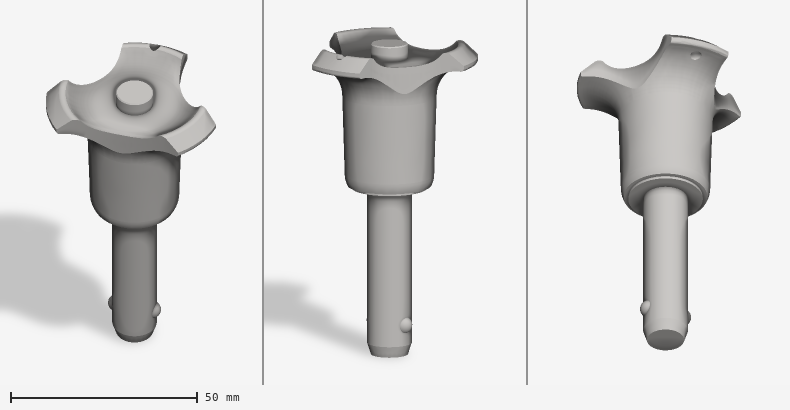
import math

import cadquery as cq


shank_radius = 6.0
shank_length = 45.5
tip_radius = 5.0
tip_length = 3.1
ball_radius = 2.35
ball_reach = 7.3
ball_height_above_tip = 8.65

grip_height = 39.8
collar_radius = 10.0
collar_height = 0.75
barrel_end_radius = 11.2
barrel_low_radius = 12.0
barrel_top_radius = 12.65
barrel_curve_height = 2.9
barrel_curve_bulge = 0.2
barrel_top_z = grip_height - 14.5

flare_radius = 9.5
rim_radius = 23.8
rim_top_z = grip_height - 3.4
rim_round = 0.7
crest_outer_radius = 20.35
crest_inner_radius = 18.5
crest_crown = 0.3

dish_floor_z = grip_height - 4.0
dish_arc_radius = 8.0

button_radius = 5.0
button_chamfer = 0.3

lobe_half_width = 8.4
side_scallop_radius = 19.7
side_scallop_angle = 60.0
side_scallop_center_y = 17.2
front_scallop_depth_y = -13.65
front_corner_x = 17.0
front_corner_y = -16.73

lanyard_hole_diameter = 3.0
lanyard_hole_y = 19.7


def make_grip():
    """Revolve the barrel, flare, rim, crest and dish."""
    barrel_low_z = collar_height + barrel_curve_height
    curve_mid = (
        (barrel_end_radius + barrel_low_radius) / 2 + barrel_curve_bulge,
        collar_height + barrel_curve_height / 2,
    )

    flare_center_radius = barrel_top_radius + flare_radius
    flare_end_z = barrel_top_z + flare_radius
    diagonal = math.sqrt(0.5)
    flare_mid = (
        flare_center_radius - flare_radius * diagonal,
        barrel_top_z + flare_radius * diagonal,
    )
    rim_round_mid = (
        rim_radius - rim_round * (1 - diagonal),
        flare_end_z + rim_round * (1 - diagonal),
    )

    crest_edge_z = grip_height - crest_crown
    crest_mid = ((crest_outer_radius + crest_inner_radius) / 2, grip_height)

    rise = crest_edge_z - dish_floor_z
    dish_sweep = math.acos(1 - rise / dish_arc_radius)
    dish_floor_radius = crest_inner_radius - dish_arc_radius * math.sin(dish_sweep)
    dish_mid = (
        dish_floor_radius + dish_arc_radius * math.sin(dish_sweep / 2),
        dish_floor_z + dish_arc_radius * (1 - math.cos(dish_sweep / 2)),
    )

    return (
        cq.Workplane("XZ")
        .moveTo(0, 0)
        .lineTo(collar_radius, 0)
        .lineTo(collar_radius, collar_height)
        .lineTo(barrel_end_radius, collar_height)
        .threePointArc(curve_mid, (barrel_low_radius, barrel_low_z))
        .lineTo(barrel_top_radius, barrel_top_z)
        .threePointArc(flare_mid, (flare_center_radius, flare_end_z))
        .lineTo(rim_radius - rim_round, flare_end_z)
        .threePointArc(rim_round_mid, (rim_radius, flare_end_z + rim_round))
        .lineTo(rim_radius, rim_top_z)
        .lineTo(crest_outer_radius, crest_edge_z)
        .threePointArc(crest_mid, (crest_inner_radius, crest_edge_z))
        .threePointArc(dish_mid, (dish_floor_radius, dish_floor_z))
        .lineTo(0, dish_floor_z)
        .close()
        .revolve(360, (0, 0), (0, 1))
    )


def make_left_scallop():
    """Cutter between the +Y lobe and the left lobe: an arc with a tangent line at each end."""
    outside = 2 * rim_radius
    center_x = -lobe_half_width - side_scallop_radius
    center_y = side_scallop_center_y

    def on_arc(angle_degrees):
        angle = math.radians(angle_degrees)
        return (
            center_x + side_scallop_radius * math.cos(angle),
            center_y + side_scallop_radius * math.sin(angle),
        )

    arc_end = on_arc(-side_scallop_angle)
    end_slope = math.tan(math.radians(90 - side_scallop_angle))
    line_end = (-outside, arc_end[1] - end_slope * (outside + arc_end[0]))

    return (
        cq.Workplane("XY")
        .moveTo(-lobe_half_width, outside)
        .lineTo(-lobe_half_width, center_y)
        .threePointArc(on_arc(-side_scallop_angle / 2), arc_end)
        .lineTo(*line_end)
        .lineTo(-outside, outside)
        .close()
        .extrude(grip_height)
    )


def make_front_scallop():
    """Cutter between the two lower lobes: the inside of one shallow arc."""
    outside_y = -2 * rim_radius
    return (
        cq.Workplane("XY")
        .moveTo(-front_corner_x, front_corner_y)
        .threePointArc((0, front_scallop_depth_y), (front_corner_x, front_corner_y))
        .lineTo(front_corner_x, outside_y)
        .lineTo(-front_corner_x, outside_y)
        .close()
        .extrude(grip_height)
    )


def make_button():
    return (
        cq.Workplane("XY")
        .workplane(offset=dish_floor_z)
        .circle(button_radius)
        .extrude(grip_height - dish_floor_z)
        .faces(">Z")
        .chamfer(button_chamfer)
    )


def make_shank():
    """Straight shank with a tapered tip, reaching down from z = 0."""
    return (
        cq.Workplane("XZ")
        .moveTo(0, 0)
        .lineTo(shank_radius, 0)
        .lineTo(shank_radius, tip_length - shank_length)
        .lineTo(tip_radius, -shank_length)
        .lineTo(0, -shank_length)
        .close()
        .revolve(360, (0, 0), (0, 1))
    )


def make_ball(side):
    """Locking ball on the +X (side = 1) or -X (side = -1) flank of the shank."""
    center_x = side * (ball_reach - ball_radius)
    center_z = ball_height_above_tip - shank_length
    return cq.Workplane("XY").sphere(ball_radius).translate((center_x, 0, center_z))


def make_lanyard_hole():
    return (
        cq.Workplane("XY")
        .center(0, lanyard_hole_y)
        .circle(lanyard_hole_diameter / 2)
        .extrude(grip_height)
    )


left_scallop = make_left_scallop()
result = make_grip()
result = result.cut(left_scallop)
result = result.cut(left_scallop.mirror("YZ"))
result = result.cut(make_front_scallop())
result = result.cut(make_lanyard_hole())
result = result.union(make_button())
result = result.union(make_shank())
for side in (-1, 1):
    result = result.union(make_ball(side))